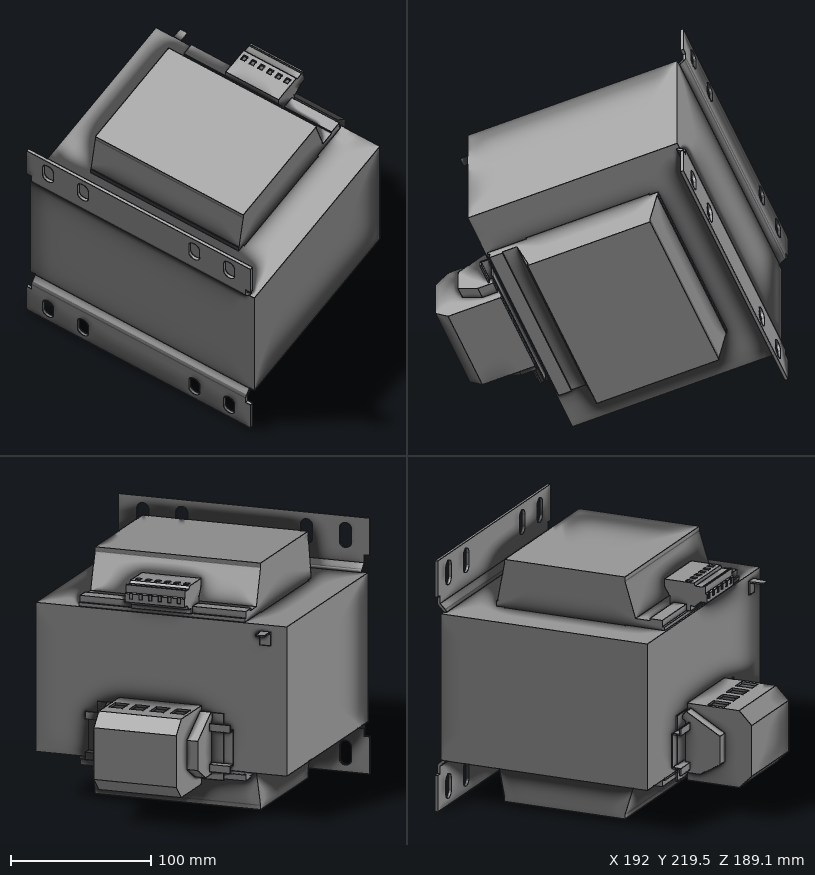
import cadquery as cq
import math


core_length = 192.0
core_back = 167.3
core_half_stack = 55.1
window_front = 40.2
window_back = 135.5
window_gap = 0.9

foot_half_height = 94.54
sheet = 2.5
foot_offset = 4.8
front_bend_z = 60.28
bend_radius = 3.0
notch_depth = 4.2
notch_top = 67.0
slot_width = 9.2
slot_length = 18.2
slot_z = 80.4
slot_xs = (47.7, 77.5)

cover_length = 126.7
cover_top = 91.1
cover_shoulder = 87.8
ledge_z = 61.0
lip_z = 62.5
toe_z = 57.8
lip_step = 0.7
lip_top = 59.0
lip_front = 33.5
lip_back = 165.8
plateau_front = 39.7
plateau_back = 134.6
slope_foot = 143.0
ledge_end = 154.2
toe_back = 164.0

connector_length = 45.2
connector_top = 79.0
connector_contacts = 6
contact_pitch = 7.33
contact_width = 3.5
contact_depth = 4.5
contact_y = 164.5
ledge_front = 179.0
ledge_back = 180.3
ledge_top = 72.5
ledge_drop = 0.7
ledge_slot_width = 2.5
ledge_slot_length = 0.7
ledge_slot_depth = 4.5
pocket_depth = 1.8

rail_length = 110.7
rail_sheet = 1.0
rail_middle_z = -37.5
rail_half_height = 17.8
rail_web_half_height = 13.5
rail_depth = 7.7
base_strip_length = 96.6
base_strip_front = 168.0
rail_bend_radius = 1.8
base_strip_bottom = -62.5
base_strip_top = -13.2

terminal_count = 4
terminal_pitch = 15.75
terminal_back = 219.5
terminal_front = 168.9
terminal_top = -8.5
terminal_bottom = -66.5
terminal_chamfer = 9.9
wire_pocket_width = 10.3
wire_pocket_front = 183.8
wire_pocket_back = 196.8
end_bracket_width = 8.3

tab_x = -79.7
tab_foot_width = 8.1
tab_width = 6.8
tab_sheet = 1.0
tab_top = 50.3
tab_bottom = 40.2
tab_end = 179.0
tab_foot_end = 170.6
tab_chamfer = 0.9


def prism(points, length):
    """Extrude a (Y, Z) outline evenly to both sides of X = 0."""
    return cq.Workplane("YZ").polyline(points).close().extrude(length / 2, both=True)


def block(x_range, y_range, z_range):
    """Box between two limits along each axis."""
    limits = (x_range, y_range, z_range)
    sizes = [high - low for low, high in limits]
    lows = [low for low, high in limits]
    return cq.Workplane("XY").box(*sizes, centered=False).translate(tuple(lows))


def centered_block(length, y_range, z_range):
    """Box centred on X = 0."""
    return block((-length / 2, length / 2), y_range, z_range)


def make_core():
    """Core block with a thin through gap between the coil and each outer leg."""
    stack = (-core_half_stack, core_half_stack)
    core = centered_block(core_length, (foot_offset, core_back), stack)
    coil_end = cover_length / 2
    for side in (-1, 1):
        gap_x = sorted((side * coil_end, side * (coil_end + window_gap)))
        core = core.cut(block(gap_x, (window_front, window_back), stack))
    return core


def make_foot():
    """Upper foot: a flange joined to the core plate by a 45 degree jog."""
    bend_shift = sheet * math.tan(math.radians(22.5))
    jog_end_z = front_bend_z - foot_offset
    plate_back = foot_offset + sheet
    outline = [
        (0, foot_half_height),
        (0, front_bend_z),
        (foot_offset, jog_end_z),
        (foot_offset, core_half_stack),
        (plate_back, core_half_stack),
        (plate_back, jog_end_z + bend_shift),
        (sheet, front_bend_z + bend_shift),
        (sheet, foot_half_height),
    ]
    foot = prism(outline, core_length)
    for bend_y, bend_z in (outline[1], outline[5]):
        foot = foot.edges(cq.NearestToPointSelector((0, bend_y, bend_z))).fillet(bend_radius)

    half_length = core_length / 2
    for side in (-1, 1):
        edges_x = sorted((side * half_length, side * (half_length - notch_depth)))
        foot = foot.cut(block(edges_x, (0, plate_back), (core_half_stack, notch_top)))

    slots = (
        cq.Workplane("XZ")
        .pushPoints([(side * x, slot_z) for x in slot_xs for side in (-1, 1)])
        .slot2D(slot_length, slot_width, 90)
        .extrude(-sheet)
    )
    return foot.cut(slots)


def make_cover():
    """Upper coil cover with its stepped toe."""
    outline = [
        (lip_front, core_half_stack),
        (lip_front, lip_top),
        (lip_front + lip_step, lip_top),
        (plateau_front, cover_shoulder),
        (plateau_front, cover_top),
        (plateau_back, cover_top),
        (plateau_back, cover_shoulder),
        (slope_foot, ledge_z),
        (ledge_end, ledge_z),
        (ledge_end, lip_z),
        (toe_back, lip_z),
        (toe_back, toe_z),
        (lip_back, toe_z),
        (lip_back, core_half_stack),
    ]
    return prism(outline, cover_length)


def make_connector():
    """Connector on the coil ledge, overhanging the core, with contact pockets and back slots."""
    connector = prism(
        [
            (151.0, ledge_z),
            (151.0, 66.8),
            (147.0, 73.3),
            (147.0, connector_top),
            (170.0, connector_top),
            (171.0, 77.0),
            (176.8, 77.0),
            (177.5, 78.0),
            (ledge_front, 78.0),
            (ledge_front, ledge_top),
            (ledge_back, ledge_top - ledge_drop),
            (ledge_back, 65.7),
            (175.2, 65.7),
            (170.8, 61.7),
            (167.3, 61.7),
            (167.3, toe_z),
            (toe_back, toe_z),
            (toe_back, ledge_z),
        ],
        connector_length,
    )
    first_x = -contact_pitch * (connector_contacts - 1) / 2
    for index in range(connector_contacts):
        x = first_x + index * contact_pitch
        contact = block(
            (x - contact_width / 2, x + contact_width / 2),
            (contact_y - contact_depth / 2, contact_y + contact_depth / 2),
            (connector_top - pocket_depth, connector_top),
        )
        ledge_slot = block(
            (x - ledge_slot_width / 2, x + ledge_slot_width / 2),
            (ledge_back - ledge_slot_length, ledge_back),
            (ledge_top - ledge_slot_depth, ledge_top),
        )
        connector = connector.cut(contact).cut(ledge_slot)
    return connector


def make_rail():
    """Hat-section rail on a thin base strip."""
    rail_back = core_back + rail_depth
    rail = centered_block(
        rail_length,
        (core_back, core_back + rail_sheet),
        (rail_middle_z - rail_web_half_height, rail_middle_z + rail_web_half_height),
    )
    for side in (-1, 1):
        web_outer = rail_middle_z + side * rail_web_half_height
        web_inner = web_outer - side * rail_sheet
        flange_outer = rail_middle_z + side * rail_half_height
        web = centered_block(
            rail_length, (core_back, rail_back), sorted((web_inner, web_outer))
        )
        flange = centered_block(
            rail_length, (rail_back - rail_sheet, rail_back), sorted((web_inner, flange_outer))
        )
        rail = rail.union(web).union(flange)
    rail = rail.faces("<Y").edges("|X").fillet(rail_bend_radius)
    strip = centered_block(
        base_strip_length,
        (base_strip_front, terminal_front),
        (base_strip_bottom, base_strip_top),
    )
    return rail.union(strip)


def make_terminals():
    """Row of rail terminals with wire pockets, held between two end brackets."""
    row_length = terminal_count * terminal_pitch
    row = centered_block(
        row_length, (terminal_front, terminal_back), (terminal_bottom, terminal_top)
    )
    row = row.faces(">Y").edges("|X").chamfer(terminal_chamfer)
    for index in range(terminal_count):
        x = (index - (terminal_count - 1) / 2) * terminal_pitch
        pocket = block(
            (x - wire_pocket_width / 2, x + wire_pocket_width / 2),
            (wire_pocket_front, wire_pocket_back),
            (terminal_top - pocket_depth, terminal_top),
        )
        row = row.cut(pocket)

    bracket_outline = [
        (171.3, -57.8),
        (183.1, -57.8),
        (198.5, -48.5),
        (198.5, -27.0),
        (171.7, -11.9),
        (168.0, -16.7),
        (171.3, -19.3),
    ]
    bracket = prism(bracket_outline, end_bracket_width)
    bracket_x = (row_length + end_bracket_width) / 2
    for side in (-1, 1):
        row = row.union(bracket.translate((side * bracket_x, 0, 0)))
    return row


def make_earth_tab():
    """L-shaped earth tab: a plate on the core and a blade standing out from it."""
    foot_x = (tab_x - tab_foot_width / 2, tab_x + tab_foot_width / 2)
    blade_x = (tab_x - tab_width / 2, tab_x + tab_width / 2)
    blade_z = (tab_top - tab_sheet, tab_top)
    plate = block(foot_x, (core_back, core_back + tab_sheet), (tab_bottom, tab_top))
    root = block(foot_x, (core_back, tab_foot_end), blade_z)
    blade = block(blade_x, (core_back, tab_end), blade_z)
    blade = blade.faces(">Y").edges("|Z").chamfer(tab_chamfer)
    return plate.union(root).union(blade)


upper_foot = make_foot()
upper_cover = make_cover()

result = make_core()
for half in (upper_foot, upper_cover):
    result = result.union(half).union(half.mirror("XY"))
for fitting in (make_connector(), make_rail(), make_terminals(), make_earth_tab()):
    result = result.union(fitting)